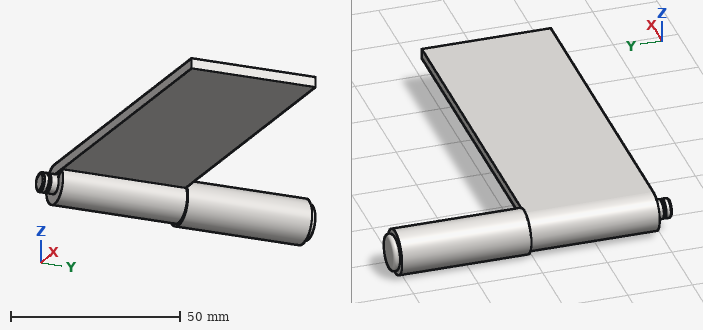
import cadquery as cq
import math

length = 107.0
barrel_radius = 14.0 / 2
barrel_length = 40.0

pin_radius = 3.0

leaf_thickness = 3.2
leaf_width = 40.0
bore_radius = pin_radius
knuckle_radius = bore_radius + leaf_thickness
leaf_reach = length - barrel_radius
curl_end_angle = 28.0

pin_overhang = 4.9
tip_chamfer = 0.48
groove_radius = 2.5
groove_width = 0.7
groove_to_tip = 1.8
head_radius = 5.7
head_height = 2.0


def polar(radius, degrees):
    """Point on a circle around the hinge axis."""
    angle = math.radians(degrees)
    return (radius * math.cos(angle), radius * math.sin(angle))


def y_cylinder(radius, y_start, y_end):
    """Cylinder on the hinge axis between two Y positions."""
    return cq.Workplane("XZ", origin=(0, y_end, 0)).circle(radius).extrude(y_end - y_start)


def make_barrel():
    """Plain sleeve that holds the pin."""
    return y_cylinder(barrel_radius, 0, barrel_length).cut(y_cylinder(pin_radius, 0, barrel_length))


def make_leaf():
    """Flat plate and its rolled knuckle, extruded as one profile."""
    middle_angle = 180 + curl_end_angle / 2
    return (
        cq.Workplane("XZ")
        .moveTo(leaf_reach, bore_radius)
        .lineTo(leaf_reach, knuckle_radius)
        .lineTo(0, knuckle_radius)
        .threePointArc(polar(knuckle_radius, middle_angle), polar(knuckle_radius, curl_end_angle))
        .lineTo(*polar(bore_radius, curl_end_angle))
        .threePointArc(polar(bore_radius, middle_angle), (0, bore_radius))
        .close()
        .extrude(leaf_width)
    )


def make_pin_head():
    """Disc with a fully rounded rim, resting on the barrel's end."""
    head_top = barrel_length + head_height
    rim_radius = head_height / 2
    flat_radius = head_radius - rim_radius
    return (
        cq.Workplane("XY")
        .moveTo(0, barrel_length)
        .lineTo(flat_radius, barrel_length)
        .threePointArc((head_radius, barrel_length + rim_radius), (flat_radius, head_top))
        .lineTo(0, head_top)
        .close()
        .revolve(360, (0, 0, 0), (0, 1, 0))
    )


def make_pin():
    """Headed pin with a retaining groove near its chamfered tip."""
    tip_y = -leaf_width - pin_overhang
    groove_start = tip_y + groove_to_tip
    groove_end = groove_start + groove_width

    shaft = y_cylinder(pin_radius, tip_y, barrel_length).faces("<Y").chamfer(tip_chamfer)
    groove = y_cylinder(pin_radius, groove_start, groove_end).cut(
        y_cylinder(groove_radius, groove_start, groove_end)
    )
    return shaft.cut(groove).union(make_pin_head())


barrel = make_barrel()
leaf = make_leaf()
pin = make_pin()

result = cq.Compound.makeCompound([barrel.val(), leaf.val(), pin.val()])